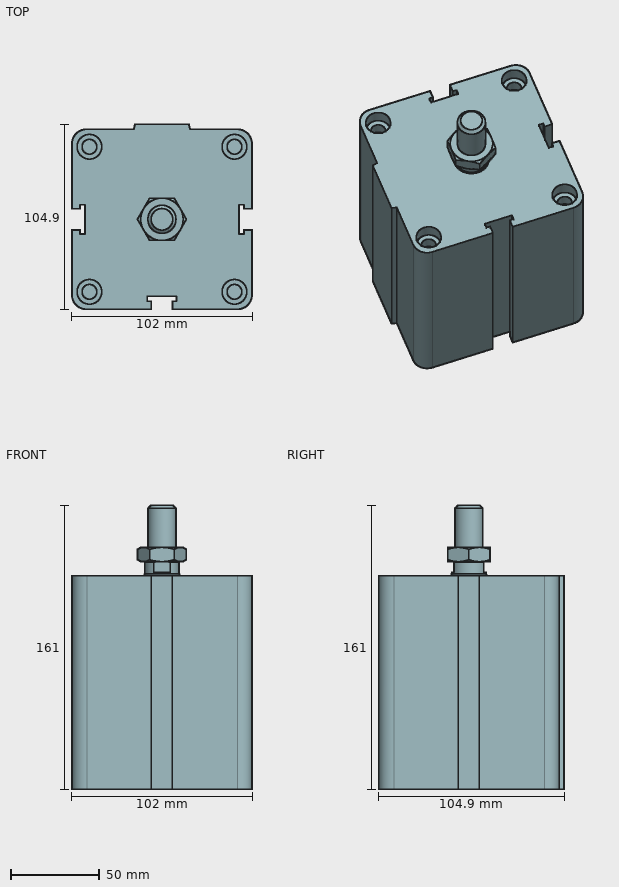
import cadquery as cq
import math

width = 102.0
housing_height = 121.0
corner_radius = 8.4

rail_rise = 2.9
rail_top_width = 30.6
rail_base_width = 31.9

slot_mouth_width = 11.9
slot_inner_width = 16.5
slot_depth = 7.4
slot_lip = 4.7

bolt_offset = 41.0
counterbore_diameter = 14.0
counterbore_depth = 8.5
bolt_hole_diameter = 8.4
bolt_hole_depth = 16.1

collar_diameter = 20.0
collar_height = 1.0
collar_bevel = 0.5
rod_bore_depth = 16.6

total_height = 161.0
rod_diameter = 19.5
thread_diameter = 16.0
shoulder_z = 129.0
shoulder_chamfer = 0.5
rod_tip_diameter = 12.2
rod_tip_length = 2.0
wrench_flat_width = 17.0
wrench_flat_z = 123.0

nut_across_flats = 24.0
nut_height = 8.0
nut_face_diameter = nut_across_flats
nut_chamfer_angle = 30

half_width = width / 2
rod_bottom_z = housing_height - rod_bore_depth


def make_t_slot(angle):
    """T-shaped cutter for the -Y face, turned about Z by the given angle."""
    mouth = cq.Workplane("XY").box(
        slot_mouth_width, slot_depth, housing_height, centered=(True, False, False)
    )
    undercut = (
        cq.Workplane("XY")
        .box(slot_inner_width, slot_depth - slot_lip, housing_height, centered=(True, False, False))
        .translate((0, slot_lip, 0))
    )
    return mouth.union(undercut).translate((0, -half_width, 0)).rotate((0, 0, 0), (0, 0, 1), angle)


def make_rail():
    """Tapered rail that widens the +Y face over its full height."""
    return (
        cq.Workplane("XY")
        .moveTo(-rail_base_width / 2, half_width)
        .lineTo(-rail_top_width / 2, half_width + rail_rise)
        .lineTo(rail_top_width / 2, half_width + rail_rise)
        .lineTo(rail_base_width / 2, half_width)
        .close()
        .extrude(housing_height)
    )


def make_housing():
    block = (
        cq.Workplane("XY")
        .box(width, width, housing_height, centered=(True, True, False))
        .edges("|Z")
        .fillet(corner_radius)
        .union(make_rail())
    )

    for angle in (-90, 0, 90):
        block = block.cut(make_t_slot(angle))

    block = (
        block.faces(">Z")
        .workplane(origin=(0, 0, housing_height))
        .rect(2 * bolt_offset, 2 * bolt_offset, forConstruction=True)
        .vertices()
        .cboreHole(bolt_hole_diameter, counterbore_diameter, counterbore_depth, bolt_hole_depth)
    )

    bevel_inset = (collar_diameter - rod_diameter) / 4
    collar = (
        cq.Workplane("XY", origin=(0, 0, housing_height))
        .circle(collar_diameter / 2)
        .extrude(collar_height)
        .faces(">Z")
        .chamfer(collar_bevel, bevel_inset)
    )
    rod_bore = (
        cq.Workplane("XY", origin=(0, 0, rod_bottom_z))
        .circle(rod_diameter / 2)
        .extrude(rod_bore_depth + collar_height)
    )
    return block.union(collar).cut(rod_bore)


def make_rod():
    """Stepped rod with a tapered tip, a chamfered shoulder and two wrench flats below the shoulder."""
    rod = (
        cq.Workplane("XZ")
        .moveTo(0, rod_bottom_z)
        .lineTo(rod_diameter / 2, rod_bottom_z)
        .lineTo(rod_diameter / 2, shoulder_z - shoulder_chamfer)
        .lineTo(rod_diameter / 2 - shoulder_chamfer, shoulder_z)
        .lineTo(thread_diameter / 2, shoulder_z)
        .lineTo(thread_diameter / 2, total_height - rod_tip_length)
        .lineTo(rod_tip_diameter / 2, total_height)
        .lineTo(0, total_height)
        .close()
        .revolve(360, (0, 0, 0), (0, 1, 0))
    )
    flat_height = shoulder_z - wrench_flat_z
    flat_cutter = cq.Workplane("XY", origin=(0, 0, wrench_flat_z)).box(
        rod_diameter, rod_diameter, flat_height, centered=(True, False, False)
    )
    for angle in (0, 180):
        flat = flat_cutter.translate((0, wrench_flat_width / 2, 0))
        rod = rod.cut(flat.rotate((0, 0, 0), (0, 0, 1), angle))
    return rod


def make_nut():
    """Hexagon nut with both ends turned to a cone at the corners."""
    across_corners = nut_across_flats / math.cos(math.pi / 6)
    hex_radius = across_corners / 2
    face_radius = nut_face_diameter / 2
    chamfer_drop = (hex_radius - face_radius) * math.tan(math.radians(nut_chamfer_angle))
    nut_top_z = shoulder_z + nut_height

    hexagon = (
        cq.Workplane("XY", origin=(0, 0, shoulder_z))
        .polygon(6, across_corners)
        .circle(thread_diameter / 2)
        .extrude(nut_height)
    )
    turned_blank = (
        cq.Workplane("XZ")
        .moveTo(0, shoulder_z)
        .lineTo(face_radius, shoulder_z)
        .lineTo(hex_radius, shoulder_z + chamfer_drop)
        .lineTo(hex_radius, nut_top_z - chamfer_drop)
        .lineTo(face_radius, nut_top_z)
        .lineTo(0, nut_top_z)
        .close()
        .revolve(360, (0, 0, 0), (0, 1, 0))
    )
    return hexagon.intersect(turned_blank)


housing = make_housing()
rod = make_rod()
nut = make_nut()

result = cq.Compound.makeCompound([housing.val(), rod.val(), nut.val()])